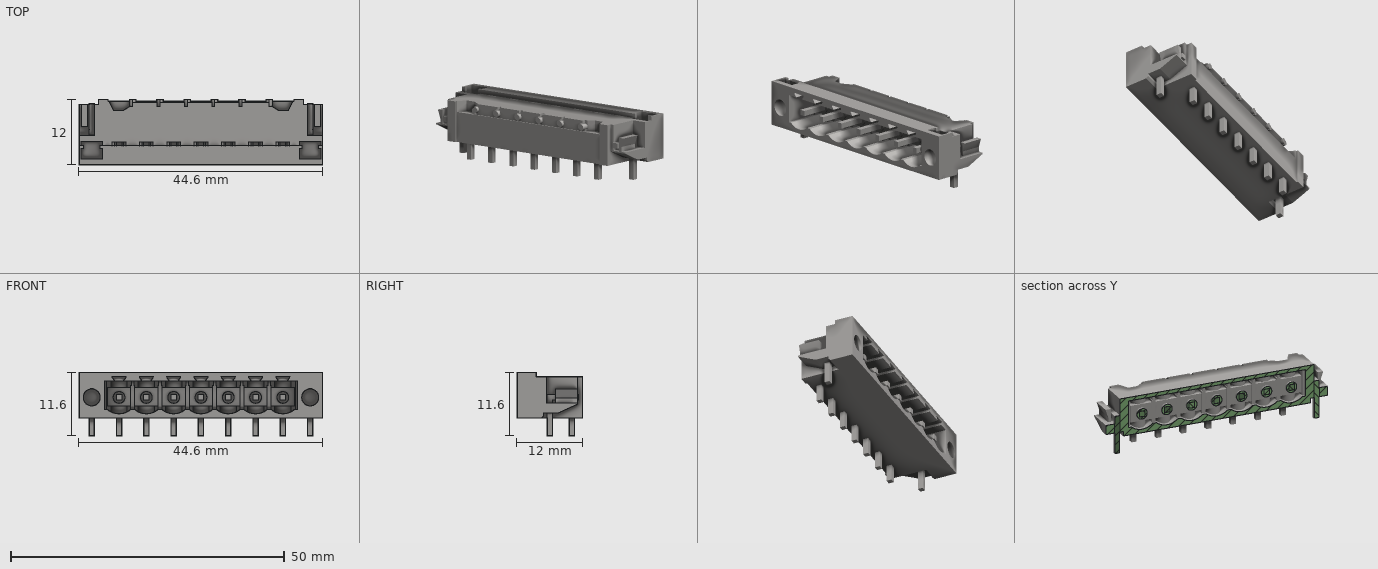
import cadquery as cq

pole_count = 7
pitch = 5.0
wire = 1.0
axis_height = 3.8
leg_length = 3.23
contact_tip_y = 0.84
contact_rear_y = 10.5

fixing_x = (pole_count + 1) * pitch / 2
fixing_front_y = 5.5
fixing_rear_y = 11.2

length = 44.6
half_length = length / 2
depth = 12.0
front_height = 8.4
rear_height = 7.6
front_depth = 3.5
wing_depth = 5.4
rear_y = 11.67
top_rear_y = 11.4
rear_shelf_z = 5.6
cheek_half_length = fixing_x - wire / 2
core_half_length = 18.8
end_block_half_length = 17.0

ledge_rear_y = 11.05
ledge_top = 2.8
ledge_rear_bottom = 2.55
ledge_flat_bottom = 0.9
ledge_flat_y = 7.45
foot_y = 4.85
foot_chamfer = 0.42

clip_front_y = 7.0
clip_top = 5.35
clip_slope_bottom = 3.7
clip_outer_x = 21.85
clip_inner_x = 20.75
clip_overhang = 0.55

cavity_half_length = 17.7
cavity_depth = 8.0
cavity_top = 6.8
land_z = 1.6
trough_bottom = 0.8
rib_half_width = 0.36
upper_rib_half_width = 0.24
end_rib_inner_x = 17.3
rib_top = 6.0
rib_front_y = 6.2
pad_bottom = 2.27
pad_top = 5.6
pad_front_y = 6.3
column_radius = 1.5
collar_diameter = 2.15
collar_height = 0.3

slot_length = 4.15
slot_top_width = 2.5
slot_bottom_width = 1.6
slot_lip = 0.15

screw_diameter = 3.1
nut_front_y = 1.1
nut_rear_y = 4.3
nut_width = 3.9
nut_floor_z = 5.4
nut_tab = 0.43
nut_tab_front_y = 2.95

peg_radius = 0.62
peg_front_y = 10.7
peg_z = 6.55
peg_drop = 0.2
peg_notch_width = 0.52
corner_notch_front_y = 9.95
corner_notch_outer_x = 16.0
corner_notch_inner_x = 14.2

pole_xs = [(i - (pole_count - 1) / 2) * pitch for i in range(pole_count)]
gap_xs = [x + pitch / 2 for x in pole_xs[:-1]]
sides = (-1, 1)


def box(x0, x1, y0, y1, z0, z1):
    """Block between two opposite corners."""
    low_x = min(x0, x1)
    return cq.Workplane("XY").box(abs(x1 - x0), y1 - y0, z1 - z0, centered=False).translate((low_x, y0, z0))


def prism_x(points, x0, x1):
    """Outline of (y, z) points extruded from x0 to x1."""
    return cq.Workplane("YZ").polyline(points).close().extrude(x1 - x0).translate((x0, 0, 0))


def prism_y(points, y0, y1):
    """Outline of (x, z) points extruded from y0 to y1."""
    return cq.Workplane("XZ").polyline(points).close().extrude(y0 - y1).translate((0, y0, 0))


def rod_y(x, z, radius, y0, y1):
    """Round bar along Y."""
    return cq.Workplane("XZ").center(x, z).circle(radius).extrude(y0 - y1).translate((0, y0, 0))


def make_contact(x):
    """Straight contact bent down at its rear end."""
    x0, x1 = x - wire / 2, x + wire / 2
    z0, z1 = axis_height - wire / 2, axis_height + wire / 2
    blade = box(x0, x1, contact_tip_y, contact_rear_y, z0, z1)
    leg = box(x0, x1, contact_rear_y - wire, contact_rear_y, -leg_length, z1)
    return blade.union(leg)


def make_fixing_pin(x):
    """Bar along the housing side, bent down at its front end."""
    x0, x1 = x - wire / 2, x + wire / 2
    z0, z1 = axis_height - wire / 2, axis_height + wire / 2
    bar = box(x0, x1, fixing_front_y, fixing_rear_y, z0, z1)
    leg = box(x0, x1, fixing_front_y, fixing_front_y + wire, -leg_length, z1)
    return bar.union(leg)


def make_shell():
    """Stepped body with its side cheeks and the ledges under the fixing pins."""
    ledge_profile = [
        (0, 0),
        (foot_y - foot_chamfer, 0),
        (foot_y, foot_chamfer),
        (foot_y, ledge_flat_bottom),
        (ledge_flat_y, ledge_flat_bottom),
        (ledge_rear_y, ledge_rear_bottom),
        (ledge_rear_y, ledge_top),
        (wing_depth, ledge_top),
        (wing_depth, rear_height),
        (front_depth, rear_height),
        (front_depth, front_height),
        (0, front_height),
    ]
    shell = prism_x(ledge_profile, -half_length, half_length)
    shell = shell.union(box(-core_half_length, core_half_length, front_depth, rear_y, 0, rear_height))
    shell = shell.union(
        box(-cheek_half_length, cheek_half_length, front_depth, ledge_rear_y, ledge_top, rear_height)
    )
    for side in sides:
        shell = shell.union(
            box(side * end_block_half_length, side * core_half_length, ledge_rear_y, depth, 0, rear_height)
        )
    return shell


def make_clip(side):
    """Ridge on a ledge whose outer face slopes in under a flat top."""
    foot_x = clip_outer_x - clip_overhang
    profile = [
        (side * clip_inner_x, ledge_top),
        (side * foot_x, ledge_top),
        (side * foot_x, clip_slope_bottom),
        (side * clip_outer_x, clip_top),
        (side * clip_inner_x, clip_top),
    ]
    return prism_y(profile, clip_front_y, ledge_rear_y)


def make_cavity():
    """Plug opening with a round trough under each pole."""
    cavity = box(-cavity_half_length, cavity_half_length, 0, cavity_depth, land_z, cavity_top)
    trough_half_width = pitch / 2 - rib_half_width
    for x in pole_xs:
        trough = (
            cq.Workplane("XZ")
            .moveTo(x - trough_half_width, land_z)
            .threePointArc((x, trough_bottom), (x + trough_half_width, land_z))
            .close()
            .extrude(-cavity_depth)
        )
        cavity = cavity.union(trough)
    return cavity


def make_cavity_back():
    """Columns, contact pads and ribs standing on the rear wall of the cavity."""
    back = cq.Workplane("XY")
    pad_half_width = pitch / 2 - rib_half_width
    for x in pole_xs:
        column = cq.Workplane("XY").center(x, cavity_depth).circle(column_radius).extrude(cavity_top)
        pad = box(x - pad_half_width, x + pad_half_width, pad_front_y, cavity_depth, pad_bottom, pad_top)
        collar = rod_y(x, axis_height, collar_diameter / 2, pad_front_y - collar_height, cavity_depth)
        back = back.union(column).union(pad).union(collar)
    for x in gap_xs:
        lower = box(x - rib_half_width, x + rib_half_width, rib_front_y, cavity_depth, land_z, rib_top)
        upper = box(
            x - upper_rib_half_width, x + upper_rib_half_width, rib_front_y, cavity_depth, rib_top, cavity_top
        )
        back = back.union(lower).union(upper)
    for side in sides:
        end_rib = box(
            side * end_rib_inner_x, side * cavity_half_length, rib_front_y, cavity_depth, land_z, cavity_top
        )
        back = back.union(end_rib)
    return back


def make_coding_slot(x):
    """Slot through the front bar into the cavity, wider at its top."""
    top, bottom = slot_top_width / 2, slot_bottom_width / 2
    profile = [
        (x - bottom, cavity_top),
        (x + bottom, cavity_top),
        (x + top, rear_height - slot_lip),
        (x + top, rear_height),
        (x - top, rear_height),
        (x - top, rear_height - slot_lip),
    ]
    return prism_y(profile, 0, slot_length)


def make_flange_cut(side):
    """Screw hole and the nut pocket above it, narrowed by a tab on each flank."""
    x = side * fixing_x
    x0, x1 = x - nut_width / 2, x + nut_width / 2
    hole = rod_y(x, axis_height, screw_diameter / 2, 0, nut_rear_y)
    pocket = box(x0, x1, nut_front_y, nut_rear_y, nut_floor_z, front_height)
    neck = (nut_tab_front_y, front_depth, nut_floor_z, front_height)
    pocket = pocket.cut(box(x0, x0 + nut_tab, *neck)).cut(box(x1 - nut_tab, x1, *neck))
    return hole.union(pocket)


def make_corner_notch(side):
    """Notch in the rear top edge between an end block and the outermost peg."""
    outline = [
        (side * end_block_half_length, depth),
        (side * corner_notch_outer_x, corner_notch_front_y),
        (side * corner_notch_inner_x, corner_notch_front_y),
        (side * (gap_xs[-1] + peg_notch_width), peg_front_y),
        (side * (gap_xs[-1] + peg_notch_width), depth),
    ]
    height = rear_height - rear_shelf_z
    return cq.Workplane("XY").polyline(outline).close().extrude(height).translate((0, 0, rear_shelf_z))


def make_peg(x, notch_side):
    """Round peg whose half under the notch sits slightly lower than the other half."""
    flank_x = x + notch_side * peg_radius
    low_zone = box(x, flank_x, peg_front_y, depth, 0, rear_height)
    high_half = rod_y(x, peg_z, peg_radius, peg_front_y, depth).cut(low_zone)
    low_half = rod_y(x, peg_z - peg_drop, peg_radius, peg_front_y, depth).intersect(low_zone)
    return high_half.union(low_half)


def make_housing():
    """Complete housing before the wire passages are cut."""
    housing = make_shell()
    for side in sides:
        housing = housing.union(make_clip(side)).cut(make_flange_cut(side)).cut(make_corner_notch(side))

    housing = housing.cut(make_cavity().cut(make_cavity_back()))
    for x in pole_xs:
        housing = housing.cut(make_coding_slot(x))

    edge_half_length = gap_xs[-1] + peg_radius
    housing = housing.cut(
        box(-edge_half_length, edge_half_length, top_rear_y, depth, rear_shelf_z, rear_height)
    )
    for x in gap_xs:
        notch_side = 1 if x == gap_xs[-1] else -1
        notch_x = x + notch_side * peg_notch_width
        notch = box(x, notch_x, peg_front_y, depth, peg_z - peg_drop, rear_height)
        housing = housing.cut(notch).union(make_peg(x, notch_side))
    return housing


contacts = [make_contact(x) for x in pole_xs]
fixing_pins = [make_fixing_pin(side * fixing_x) for side in sides]

housing = make_housing()
for pin in contacts + fixing_pins:
    housing = housing.cut(pin)

result = cq.Compound.makeCompound([housing.val(), *[pin.val() for pin in contacts + fixing_pins]])